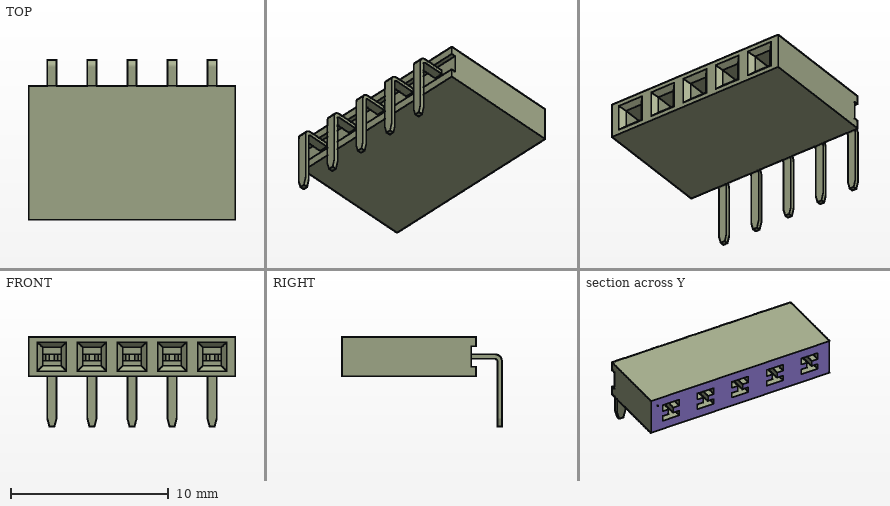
import cadquery as cq


contact_count = 5
pitch = 2.54
housing_length = 13.11
housing_depth = 8.5
housing_height = 2.5

channel_height = 1.28
channel_depth = 0.3

entry_size = 1.84
socket_size = 1.18
entry_depth = 0.33
socket_depth = 6.0

pin_width = 0.6
pin_thickness = 0.3
pin_overhang = 1.65
pin_drop = 3.2
bend_inner_radius = 0.15
tip_width = 0.32
tip_length = 0.52

fork_top = 0.16
fork_thickness = 0.42
fork_front = 2.5
fork_base = 4.5
fork_gap = 0.33
tine_ridge_offset = 0.385
ridge_inner_depth = 0.2
ridge_outer_depth = 0.22

rear_y = housing_depth - channel_depth
pin_outer_y = housing_depth + pin_overhang
pin_bottom_z = -housing_height / 2 - pin_drop


def make_housing():
    """Block with a full-length channel across its rear face."""
    block = cq.Workplane("XY").box(
        housing_length, housing_depth, housing_height, centered=(True, False, True)
    )
    channel = (
        cq.Workplane("XY")
        .box(housing_length, channel_depth, channel_height, centered=(True, False, True))
        .translate((0, rear_y, 0))
    )
    return block.cut(channel)


def make_socket():
    """Cutter for one square socket whose entry narrows from the front face."""
    entry = (
        cq.Workplane("XZ")
        .rect(entry_size, entry_size)
        .workplane(offset=-entry_depth)
        .rect(socket_size, socket_size)
        .loft(ruled=True)
    )
    bore = cq.Workplane("XY").box(
        socket_size, socket_depth, socket_size, centered=(True, False, True)
    )
    return entry.union(bore)


def make_fork():
    """Flat contact with two tines, each ending in a ridge bevelled on both sides."""
    half_width = socket_size / 2
    half_gap = fork_gap / 2
    right_side = [
        (half_gap, fork_base),
        (half_gap, fork_front + ridge_inner_depth),
        (tine_ridge_offset, fork_front),
        (half_width, fork_front + ridge_outer_depth),
        (half_width, socket_depth),
    ]
    left_side = [(-x, y) for x, y in reversed(right_side)]
    return (
        cq.Workplane("XY", origin=(0, 0, fork_top - fork_thickness))
        .polyline(right_side + left_side)
        .close()
        .extrude(fork_thickness)
    )


def make_pin():
    """Strip leaving the rear face, bent down, with a tip narrowed in width."""
    half_thickness = pin_thickness / 2
    side_profile = (
        cq.Workplane("YZ")
        .moveTo(rear_y, half_thickness)
        .lineTo(pin_outer_y, half_thickness)
        .lineTo(pin_outer_y, pin_bottom_z)
        .lineTo(pin_outer_y - pin_thickness, pin_bottom_z)
        .lineTo(pin_outer_y - pin_thickness, -half_thickness)
        .lineTo(rear_y, -half_thickness)
        .close()
    )
    strip = side_profile.extrude(pin_width / 2, both=True)
    outer_corner = cq.selectors.NearestToPointSelector((0, pin_outer_y, half_thickness))
    inner_corner = cq.selectors.NearestToPointSelector(
        (0, pin_outer_y - pin_thickness, -half_thickness)
    )
    strip = strip.edges(outer_corner).fillet(bend_inner_radius + pin_thickness)
    strip = strip.edges(inner_corner).fillet(bend_inner_radius)

    front_outline = (
        cq.Workplane("XZ")
        .moveTo(-tip_width / 2, pin_bottom_z)
        .lineTo(tip_width / 2, pin_bottom_z)
        .lineTo(pin_width / 2, pin_bottom_z + tip_length)
        .lineTo(pin_width / 2, half_thickness)
        .lineTo(-pin_width / 2, half_thickness)
        .lineTo(-pin_width / 2, pin_bottom_z + tip_length)
        .close()
        .extrude(-pin_outer_y)
    )
    return strip.intersect(front_outline)


result = make_housing()
socket = make_socket()
fork = make_fork()
pin = make_pin()
for index in range(contact_count):
    position = ((index - (contact_count - 1) / 2) * pitch, 0, 0)
    result = result.cut(socket.translate(position))
    result = result.union(fork.translate(position))
    result = result.union(pin.translate(position))